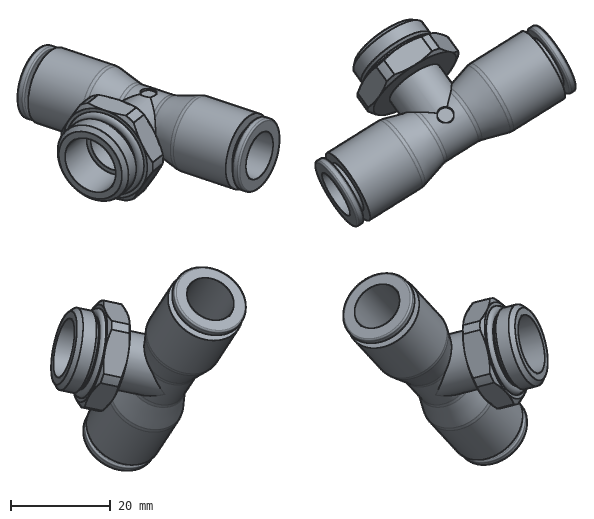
import cadquery as cq
import math

run_length = 53.0
bore_radius = 5.05
socket_radius = 8.0
socket_face_x = 23.6
waist_radius = 6.1
taper_outer_x = 10.65
taper_inner_x = 4.2
taper_blend_radius = 2.8

collar_radius = 7.75
collar_thickness = 1.65
collar_edge_radius = 0.35
collar_neck_radius = 5.6

branch_radius = waist_radius
branch_reach = 21.5

hex_across_flats = 20.0
hex_corner_radius = 10.95
hex_start_reach = 11.0
hex_end_reach = 15.95
hex_chamfer_angle = 30.0

seal_outer_radius = 9.2
seal_section_radius = 0.95

thread_radius = 8.5
thread_undercut_radius = 7.6
thread_lead_in = 0.8
thread_end_chamfer = 0.95
mouth_radius = 6.05
mouth_depth = 7.95

recess_radius = 1.7
recess_depth = 0.55

run_end_x = run_length / 2


def branch_cylinder(radius, start_reach, end_reach):
    """Cylinder around the branch axis between two distances from the run axis."""
    start = cq.Workplane("XZ", origin=(0, -start_reach, 0))
    return start.circle(radius).extrude(end_reach - start_reach)


def revolve_around_branch(profile):
    """Turn (radius, reach) points into a solid around the branch axis."""
    points = [(radius, -reach) for radius, reach in profile]
    return cq.Workplane("XY").polyline(points).close().revolve(360, (0, 0, 0), (0, 1, 0))


def make_run_body():
    """Both sockets, their tapers and the waist, with the taper ends blended."""
    outline = [
        (-socket_face_x, 0),
        (-socket_face_x, socket_radius),
        (-taper_outer_x, socket_radius),
        (-taper_inner_x, waist_radius),
        (taper_inner_x, waist_radius),
        (taper_outer_x, socket_radius),
        (socket_face_x, socket_radius),
        (socket_face_x, 0),
    ]
    body = cq.Workplane("XY").polyline(outline).close().revolve(360, (0, 0, 0), (1, 0, 0))
    margin = 0.55
    taper_zone = cq.selectors.BoxSelector(
        (-taper_outer_x - margin, -run_length, -run_length),
        (taper_outer_x + margin, run_length, run_length),
    )
    return body.edges("%CIRCLE").edges(taper_zone).fillet(taper_blend_radius)


def make_collar(side):
    """Release collar and its neck at the -X (side = -1) or +X (side = 1) end."""
    plane = cq.Workplane("YZ", origin=(side * run_end_x, 0, 0))
    flange = plane.circle(collar_radius).extrude(-side * collar_thickness)
    flange = flange.edges().fillet(collar_edge_radius)
    neck_length = run_end_x - socket_face_x
    neck = plane.circle(collar_neck_radius).extrude(-side * neck_length)
    return flange.union(neck)


def make_hexagon():
    """Hexagon with turned corners and a conical chamfer on both faces."""
    height = hex_end_reach - hex_start_reach
    across_corners = hex_across_flats / math.cos(math.pi / 6)
    prism = (
        cq.Workplane("XZ", origin=(0, -hex_start_reach, 0))
        .polygon(6, across_corners)
        .extrude(height)
    )
    face_radius = hex_across_flats / 2
    chamfer_height = (hex_corner_radius - face_radius) * math.tan(math.radians(hex_chamfer_angle))
    turned_blank = revolve_around_branch([
        (0, hex_start_reach),
        (face_radius, hex_start_reach),
        (hex_corner_radius, hex_start_reach + chamfer_height),
        (hex_corner_radius, hex_end_reach - chamfer_height),
        (face_radius, hex_end_reach),
        (0, hex_end_reach),
    ])
    return prism.intersect(turned_blank)


def make_seal():
    """O-ring centred on the outer face of the hexagon."""
    ring_radius = seal_outer_radius - seal_section_radius
    section = cq.Workplane("XY").center(ring_radius, -hex_end_reach).circle(seal_section_radius)
    return section.revolve(360, (-ring_radius, 0, 0), (-ring_radius, 1, 0))


def make_threaded_end():
    """Undercut, lead-in, thread cylinder and end chamfer."""
    undercut_end = hex_end_reach + seal_section_radius
    return revolve_around_branch([
        (0, hex_end_reach),
        (thread_undercut_radius, hex_end_reach),
        (thread_undercut_radius, undercut_end),
        (thread_radius, undercut_end + thread_lead_in),
        (thread_radius, branch_reach - thread_end_chamfer),
        (thread_radius - thread_end_chamfer, branch_reach),
        (0, branch_reach),
    ])


result = make_run_body()
for side in (-1, 1):
    result = result.union(make_collar(side))
result = result.union(branch_cylinder(branch_radius, 0, hex_start_reach))
result = result.union(make_hexagon())
result = result.union(make_threaded_end())
result = result.union(make_seal())

run_bore = cq.Workplane("YZ", origin=(-run_end_x, 0, 0)).circle(bore_radius).extrude(run_length)
result = result.cut(run_bore)
result = result.cut(branch_cylinder(bore_radius, 0, branch_reach))
result = result.cut(branch_cylinder(mouth_radius, branch_reach - mouth_depth, branch_reach))

recess_floor = cq.Workplane("XY", origin=(0, 0, waist_radius - recess_depth))
result = result.cut(recess_floor.circle(recess_radius).extrude(2 * recess_depth))